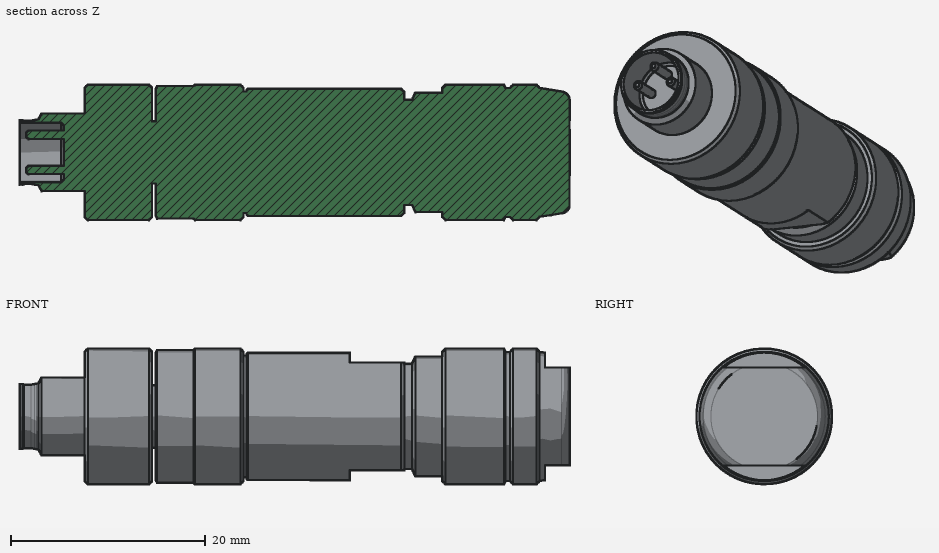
import cadquery as cq
import math

length = 56.65
max_radius = 14.0 / 2
edge_chamfer = 0.35
small_chamfer = 0.15

sleeve_radius = 3.35
sleeve_lip_end = 0.3
sleeve_groove_start = 0.45
sleeve_groove_end = 1.2
sleeve_groove_radius = 3.3
sleeve_groove_top = 1.55
sleeve_flange_start = 1.75
sleeve_flange_radius = 3.4
nose_start = 1.9
nose_chamfer_end = 2.25
nose_radius = 4.0
bore_radius = 3.05
bore_floor_chamfer = 0.3
bore_depth = 4.55

pin_radius = 0.45
pin_circle_radius = 1.8
pin_tip_x = 0.7
pin_tip_chamfer = 0.2
pin_angles = (0, 90, 180)

collar_start = 6.7
collar_end = 13.65
gap_radius = 3.25

grip_start = 14.0
grip_front_radius = 6.85
grip_step = 18.1
grip_end = 23.05
grip_gap_radius = 6.3

body_start = 23.35
body_end = 39.6
body_radius = 6.6
body_flat_start = 34.0
body_flat_distance = 5.55

neck_radius = 5.45
shoulder_start = 40.4
shoulder_radius = 6.2

nut_start = 43.5
nut_groove_start = 50.05
nut_groove_end = 50.5
tail_start = 53.55
tail_shoulder_x = 55.8
tail_shoulder_radius = 6.3
tail_face_radius = 5.5
tail_flat_start = 54.1
tail_flat_distance = 5.05

relief_radius = max_radius - edge_chamfer


def turned_body():
    """Revolve the half outline, given as (X, radius), about the X axis."""
    outline = [
        (0, 0),
        (0, sleeve_radius),
        (sleeve_lip_end, sleeve_radius),
        (sleeve_groove_start, sleeve_groove_radius),
        (sleeve_groove_end, sleeve_groove_radius),
        (sleeve_groove_top, sleeve_radius),
        (sleeve_flange_start, sleeve_flange_radius),
        (nose_start, sleeve_flange_radius),
        (nose_chamfer_end, nose_radius),
        (collar_start, nose_radius),
        (collar_start, relief_radius),
        (collar_start + edge_chamfer, max_radius),
        (collar_end - edge_chamfer, max_radius),
        (collar_end, relief_radius),
        (collar_end, gap_radius),
        (grip_start, gap_radius),
        (grip_start, grip_front_radius - edge_chamfer),
        (grip_start + small_chamfer, grip_front_radius),
        (grip_step - small_chamfer, grip_front_radius),
        (grip_step, max_radius),
        (grip_end - edge_chamfer, max_radius),
        (grip_end, relief_radius),
        (grip_end, grip_gap_radius),
        (body_start, grip_gap_radius),
        (body_start, body_radius - small_chamfer),
        (body_start + small_chamfer, body_radius),
        (body_end - edge_chamfer, body_radius),
        (body_end, body_radius - edge_chamfer),
        (body_end, neck_radius),
        (shoulder_start, neck_radius),
        (shoulder_start + edge_chamfer, shoulder_radius),
        (nut_start, shoulder_radius),
        (nut_start, relief_radius),
        (nut_start + edge_chamfer, max_radius),
        (nut_groove_start - small_chamfer, max_radius),
        (nut_groove_start, relief_radius),
        (nut_groove_end, relief_radius),
        (nut_groove_end + edge_chamfer, max_radius),
        (tail_start - edge_chamfer, max_radius),
        (tail_start, relief_radius),
        (tail_shoulder_x, tail_shoulder_radius),
    ]
    profile = (
        cq.Workplane("XY")
        .polyline(outline)
        .tangentArcPoint((length, tail_face_radius), relative=False)
        .lineTo(length, 0)
        .close()
    )
    return profile.revolve(360, (0, 0, 0), (1, 0, 0))


def flat_cutter(start, end, distance):
    """Two blocks that leave flats at Z = +distance and Z = -distance."""
    slab = cq.Workplane("XY").box(end - start, 2 * max_radius, max_radius, centered=(False, True, False))
    upper = slab.translate((start, 0, distance))
    return upper.union(upper.mirror("XY"))


def pin(angle):
    """One contact pin, standing on the floor of the bore."""
    y = pin_circle_radius * math.cos(math.radians(angle))
    z = pin_circle_radius * math.sin(math.radians(angle))
    rod = cq.Workplane("YZ", origin=(pin_tip_x, y, z)).circle(pin_radius).extrude(bore_depth - pin_tip_x)
    return rod.faces("<X").chamfer(pin_tip_chamfer)


result = turned_body()
result = result.cut(flat_cutter(body_flat_start, body_end, body_flat_distance))
result = result.cut(flat_cutter(tail_flat_start, length, tail_flat_distance))

bore = cq.Workplane("YZ").circle(bore_radius).extrude(bore_depth).faces(">X").chamfer(bore_floor_chamfer)
result = result.cut(bore)
for pin_angle in pin_angles:
    result = result.union(pin(pin_angle))